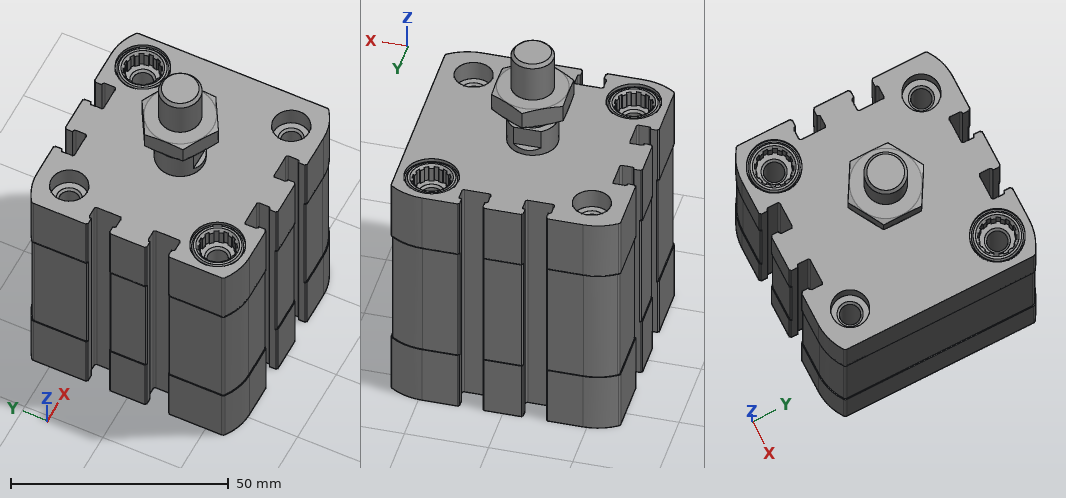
import cadquery as cq
import math

HALF_WIDTH = 27.25
HOUSING_HEIGHT = 60
CAP_HEIGHT = 15.0
TUBE_HEIGHT = HOUSING_HEIGHT - 2 * CAP_HEIGHT
TUBE_INSET = 0.25
CORNER_RADIUS = 13.5
CORNER_CENTER_X = 19.1
CORNER_CENTER_Y = HALF_WIDTH - CORNER_RADIUS
CORNER_EDGE_FILLET = 0.85

SLOT_OFFSET = 7.5
SLOT_NECK_WIDTH = 5.5
SLOT_NECK_DEPTH = 2.05
SLOT_WIDTH = 6.85
SLOT_DEPTH = 5.4
SLOT_FILLET = 0.5
SLOT_MOUTH_RADIUS = 0.3

HOLE_OFFSET = 19.0
SCREW_HOLE_DIAMETER = 4.9
SCREW_HOLE_CHAMFER_DIAMETER = 6
COUNTERBORE_DIAMETER = 9.0
COUNTERBORE_DEPTH = 4.8

SOCKET_RECESS_DIAMETER = 12.8
SOCKET_BODY_DIAMETER = 12
SOCKET_RIM_DROP = 0.3
SOCKET_RIM_OUTER_DIAMETER = 11.1
SOCKET_RIM_INNER_DIAMETER = 10.0
SOCKET_GROOVE_DEPTH = 0.85
SOCKET_CONE_DEPTH = 1.1
SOCKET_ROOT_DIAMETER = 9.0
SOCKET_TOOTH_DIAMETER = 8.4
SOCKET_TOOTH_COUNT = 12
SOCKET_TOOTH_FILL = 0.5

TOTAL_HEIGHT = 85.7
ROD_DIAMETER = 12
ROD_SHOULDER_Z = 66.8
FLAT_SPAN = 10.0
FLAT_BOTTOM_Z = 62.0
FLAT_LEDGE_DROP = 0.6
THREAD_DIAMETER = 10.0
UNDERCUT_DIAMETER = 8.2
UNDERCUT_BOTTOM_Z = 67.2
UNDERCUT_TOP_Z = 68.1
UNDERCUT_FOOT_DIAMETER = 8.65
TIP_DIAMETER = 8.65
TIP_CHAMFER_HEIGHT = 0.85

NUT_ACROSS_FLATS = 17.0
NUT_BOTTOM_Z = 70.6
NUT_HEIGHT = 5.0
NUT_TOP_Z = NUT_BOTTOM_Z + NUT_HEIGHT
NUT_FACE_DIAMETER = 16.7
NUT_CHAMFER_ANGLE = 15


def revolved(profile):
    """Solid of revolution about Z from (radius, z) points."""
    return cq.Workplane("XZ").polyline(profile).close().revolve(360, (0, 0), (0, 1))


def corner_arc_y(radius, x):
    """Y coordinate of the +X +Y corner arc at the given x."""
    return CORNER_CENTER_Y + math.sqrt(radius**2 - (x - CORNER_CENTER_X) ** 2)


def block(inset, bottom_z, height):
    """Housing block with arched corners, drawn in by the inset on all four sides."""
    half = HALF_WIDTH - inset
    radius = CORNER_RADIUS - inset
    middle_x = (CORNER_CENTER_X + half) / 2
    middle_y = corner_arc_y(radius, middle_x)
    end_y = corner_arc_y(radius, half)
    outline = (
        cq.Workplane("XY", origin=(0, 0, bottom_z))
        .moveTo(-CORNER_CENTER_X, half)
        .lineTo(CORNER_CENTER_X, half)
        .threePointArc((middle_x, middle_y), (half, end_y))
        .lineTo(half, -end_y)
        .threePointArc((middle_x, -middle_y), (CORNER_CENTER_X, -half))
        .lineTo(-CORNER_CENTER_X, -half)
        .threePointArc((-middle_x, -middle_y), (-half, -end_y))
        .lineTo(-half, end_y)
        .threePointArc((-middle_x, middle_y), (-CORNER_CENTER_X, half))
        .close()
    )
    return outline.extrude(height).edges("|Z and (<X or >X)").fillet(CORNER_EDGE_FILLET)


def slot_cutter(inset, bottom_z, height):
    """T-slot with a rounded mouth, opening at the -Y side of a block and centred on X = 0."""
    face_y = inset - HALF_WIDTH
    neck = SLOT_NECK_WIDTH / 2
    mouth = neck + SLOT_MOUTH_RADIUS
    mouth_y = face_y + SLOT_MOUTH_RADIUS
    neck_y = SLOT_NECK_DEPTH - HALF_WIDTH
    chamber_depth = SLOT_DEPTH - SLOT_NECK_DEPTH
    entry = (
        cq.Workplane("XY", origin=(0, 0, bottom_z))
        .moveTo(-mouth, face_y)
        .radiusArc((-neck, mouth_y), SLOT_MOUTH_RADIUS)
        .lineTo(-neck, neck_y + SLOT_FILLET)
        .lineTo(neck, neck_y + SLOT_FILLET)
        .lineTo(neck, mouth_y)
        .radiusArc((mouth, face_y), SLOT_MOUTH_RADIUS)
        .close()
        .extrude(height)
    )
    chamber = (
        cq.Workplane("XY", origin=(0, neck_y + chamber_depth / 2, bottom_z))
        .rect(SLOT_WIDTH, chamber_depth)
        .extrude(height)
        .edges("|Z")
        .fillet(SLOT_FILLET)
    )
    return entry.union(chamber)


def slotted_block(inset, bottom_z, height):
    """Block with two T-slots in each of its -Y, -X and +Y sides."""
    body = block(inset, bottom_z, height)
    slot = slot_cutter(inset, bottom_z, height)
    for turn in (0, -90, 180):
        for offset in (-SLOT_OFFSET, SLOT_OFFSET):
            placed = slot.translate((offset, 0, 0)).rotate((0, 0, 0), (0, 0, 1), turn)
            body = body.cut(placed)
    return body


def screw_hole_cutter():
    """Through hole with a chamfered top, starting at the floor of the counterbore."""
    floor_z = HOUSING_HEIGHT - COUNTERBORE_DEPTH
    hole = SCREW_HOLE_DIAMETER / 2
    rim = SCREW_HOLE_CHAMFER_DIAMETER / 2
    return revolved([(0, 0), (hole, 0), (hole, floor_z - (rim - hole)), (rim, floor_z), (0, floor_z)])


def counterbore_cutter():
    return (
        cq.Workplane("XY", origin=(0, 0, HOUSING_HEIGHT - COUNTERBORE_DEPTH))
        .circle(COUNTERBORE_DIAMETER / 2)
        .extrude(COUNTERBORE_DEPTH)
    )


def socket_cutter():
    """Toothed socket with a conical mouth, and the groove around its raised rim."""
    top_z = HOUSING_HEIGHT
    floor_z = HOUSING_HEIGHT - COUNTERBORE_DEPTH
    rim_z = top_z - SOCKET_RIM_DROP
    cone_z = top_z - SOCKET_CONE_DEPTH
    groove_z = top_z - SOCKET_GROOVE_DEPTH
    mouth = revolved([
        (0, cone_z),
        (SOCKET_TOOTH_DIAMETER / 2, cone_z),
        (SOCKET_RIM_INNER_DIAMETER / 2, rim_z),
        (SOCKET_RIM_OUTER_DIAMETER / 2, rim_z),
        (SOCKET_BODY_DIAMETER / 2, groove_z),
        (SOCKET_RECESS_DIAMETER / 2, groove_z),
        (SOCKET_RECESS_DIAMETER / 2, top_z),
        (0, top_z),
    ])
    root = SOCKET_ROOT_DIAMETER / 2
    bore = SOCKET_TOOTH_DIAMETER / 2
    depth = cone_z - floor_z
    socket = cq.Workplane("XY", origin=(0, 0, floor_z)).circle(bore).extrude(depth)
    gap_width = (1 - SOCKET_TOOTH_FILL) * math.pi * bore * 2 / SOCKET_TOOTH_COUNT
    gap_height = rim_z - floor_z
    gap = cq.Workplane("XY", origin=(root / 2, 0, floor_z)).rect(root, gap_width).extrude(gap_height)
    for index in range(SOCKET_TOOTH_COUNT):
        socket = socket.union(gap.rotate((0, 0, 0), (0, 0, 1), index * 360 / SOCKET_TOOTH_COUNT))
    return socket.union(mouth)


def make_housing():
    """Lower cap, tube and upper cap in one piece, with the four corner holes."""
    body = slotted_block(0, 0, CAP_HEIGHT)
    body = body.union(slotted_block(TUBE_INSET, CAP_HEIGHT, TUBE_HEIGHT))
    body = body.union(slotted_block(0, CAP_HEIGHT + TUBE_HEIGHT, CAP_HEIGHT))
    screw_hole = screw_hole_cutter()
    counterbore = counterbore_cutter()
    socket = socket_cutter()
    for x in (-HOLE_OFFSET, HOLE_OFFSET):
        for y in (-HOLE_OFFSET, HOLE_OFFSET):
            top_cutter = socket if x == y else counterbore
            body = body.cut(screw_hole.translate((x, y, 0)))
            body = body.cut(top_cutter.translate((x, y, 0)))
    return body


def make_rod():
    """Piston rod standing on the housing, with wrench flats, an undercut and a threaded end."""
    rod = ROD_DIAMETER / 2
    undercut = UNDERCUT_DIAMETER / 2
    body = revolved([
        (0, HOUSING_HEIGHT),
        (rod, HOUSING_HEIGHT),
        (rod, ROD_SHOULDER_Z),
        (UNDERCUT_FOOT_DIAMETER / 2, ROD_SHOULDER_Z),
        (undercut, UNDERCUT_BOTTOM_Z),
        (undercut, UNDERCUT_TOP_Z),
        (THREAD_DIAMETER / 2, NUT_BOTTOM_Z),
        (THREAD_DIAMETER / 2, TOTAL_HEIGHT - TIP_CHAMFER_HEIGHT),
        (TIP_DIAMETER / 2, TOTAL_HEIGHT),
        (0, TOTAL_HEIGHT),
    ])
    flat = FLAT_SPAN / 2
    flat_cutter = (
        cq.Workplane("YZ")
        .polyline([
            (flat, FLAT_BOTTOM_Z),
            (rod, FLAT_BOTTOM_Z - FLAT_LEDGE_DROP),
            (rod, ROD_SHOULDER_Z),
            (flat, ROD_SHOULDER_Z),
        ])
        .close()
        .extrude(rod, both=True)
    )
    return body.cut(flat_cutter).cut(flat_cutter.mirror("XZ"))


def make_nut():
    """Hexagon nut with both faces chamfered to a circle, its points toward +Y and -Y."""
    point_radius = NUT_ACROSS_FLATS / 2 / math.cos(math.pi / 6)
    face = NUT_FACE_DIAMETER / 2
    drop = (point_radius - face) * math.tan(math.radians(NUT_CHAMFER_ANGLE))
    hexagon = (
        cq.Workplane("XY", origin=(0, 0, NUT_BOTTOM_Z))
        .polygon(6, 2 * point_radius)
        .extrude(NUT_HEIGHT)
        .rotate((0, 0, 0), (0, 0, 1), 30)
    )
    chamfered_disc = revolved([
        (0, NUT_BOTTOM_Z),
        (face, NUT_BOTTOM_Z),
        (point_radius, NUT_BOTTOM_Z + drop),
        (point_radius, NUT_TOP_Z - drop),
        (face, NUT_TOP_Z),
        (0, NUT_TOP_Z),
    ])
    bore = (
        cq.Workplane("XY", origin=(0, 0, NUT_BOTTOM_Z))
        .circle(THREAD_DIAMETER / 2)
        .extrude(NUT_HEIGHT)
    )
    return hexagon.intersect(chamfered_disc).cut(bore)


housing = make_housing()
rod = make_rod()
nut = make_nut()

result = cq.Compound.makeCompound([housing.val(), rod.val(), nut.val()])